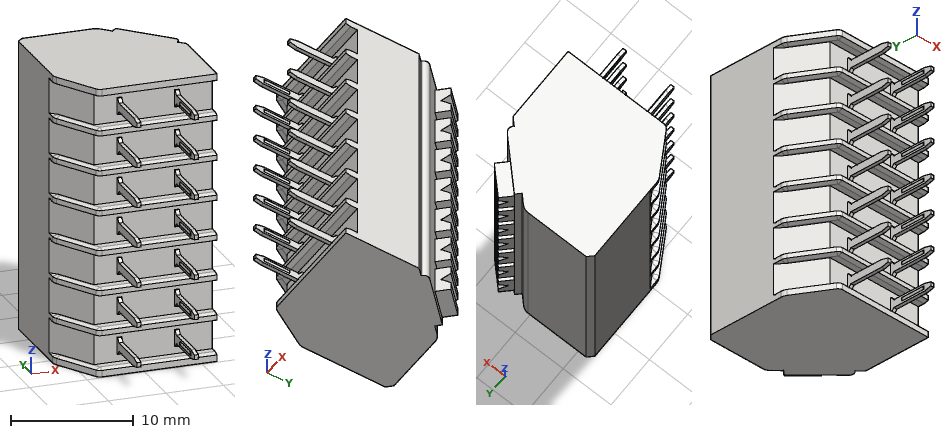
import cadquery as cq
import math

POLES = 7
HEIGHT = 25.2
RIB_THICKNESS = 0.7
PITCH = (HEIGHT - RIB_THICKNESS) / POLES

WIDTH = 12.7
DEPTH = 12.9
BACK_CHAMFER = 0.5
BEVEL_RIGHT_Y = 7.18
BEVEL_SUM = WIDTH + BEVEL_RIGHT_Y
BEVEL_BACK_X = BEVEL_SUM - DEPTH
BEVEL_FILLET = 1.0
SLOPE_LEFT_Y = 4.05
SLOPE_FRONT_X = 2.42
SLOPE_LEFT_FILLET = 1.0
SLOPE_FRONT_FILLET = 0.5

PAD_START_X = 8.0
PAD_LENGTH = 5.82
PAD_HEIGHT = 0.63
PAD_FILLET = 0.53
BUTTON_OFFSET = 0.1
BUTTON_LENGTH = 3.0
BUTTON_HEIGHT = 1.3
BUTTON_WIDTH = 2.65
GROOVE_WIDTH = 1.08
GROOVE_DEPTH = 0.8
EMBED = 0.25

RECESS_DEPTH = 1.13
RIB_EDGE_RUN = 0.48
RIB_EDGE_DROP = 0.13

PIN_X = (4.44, 9.42)
PIN_THICKNESS = 0.35
PIN_WIDTH = 0.75
PIN_TIP_Y = -3.5
PIN_TIP_WIDTH = 0.4
PIN_TAPER_LENGTH = 0.73
PIN_FOOT_WIDTH = 1.45
PIN_FOOT_STRAIGHT = 0.13
PIN_FOOT_TAPER = 0.28
BEAD_WIDTH = 0.33
BEAD_HEIGHT = 0.088
BEAD_START_Y = -0.23
BEAD_END_Y = -2.7

POLE_CENTERS = [RIB_THICKNESS / 2 + PITCH * (i + 0.5) for i in range(POLES)]


def round_vertical_edge(solid, x, y, radius):
    """Fillet the edge parallel to Z that passes through (x, y)."""
    tolerance = 0.003
    low_corner = (x - tolerance, y - tolerance, -HEIGHT)
    high_corner = (x + tolerance, y + tolerance, HEIGHT)
    edge = cq.selectors.BoxSelector(low_corner, high_corner)
    return solid.edges("|Z").edges(edge).fillet(radius)


def make_core():
    """Housing without ribs: its front and slope lie at the bottom of the recesses."""
    outline = [
        (SLOPE_FRONT_X, RECESS_DEPTH),
        (WIDTH, RECESS_DEPTH),
        (WIDTH, BEVEL_RIGHT_Y),
        (BEVEL_BACK_X, DEPTH),
        (BACK_CHAMFER, DEPTH),
        (0, DEPTH - BACK_CHAMFER),
        (0, SLOPE_LEFT_Y + RECESS_DEPTH),
    ]
    core = cq.Workplane("XY").polyline(outline).close().extrude(HEIGHT)
    return round_vertical_edge(core, BEVEL_BACK_X, DEPTH, BEVEL_FILLET)


def make_half_rib(straight):
    """Rib standing on Z = 0 with a straight rim and a chamfered upper edge.

    It reaches back into the core, and past the right wall before being trimmed there,
    so that only the front and the slope keep the chamfer.
    """
    far_x = WIDTH + RIB_EDGE_RUN
    outline = [
        (SLOPE_FRONT_X, 0),
        (far_x, 0),
        (far_x, BEVEL_RIGHT_Y),
        (0, BEVEL_RIGHT_Y),
        (0, SLOPE_LEFT_Y),
    ]
    rib = cq.Workplane("XY").polyline(outline).close().extrude(straight)
    rib = round_vertical_edge(rib, SLOPE_FRONT_X, 0, SLOPE_FRONT_FILLET)
    rib = round_vertical_edge(rib, 0, SLOPE_LEFT_Y, SLOPE_LEFT_FILLET)
    taper = math.degrees(math.atan2(RIB_EDGE_RUN, RIB_EDGE_DROP))
    rib = rib.faces(">Z").wires().toPending().workplane().extrude(RIB_EDGE_DROP, taper=taper)
    trim = cq.Workplane("XY").box(WIDTH, BEVEL_RIGHT_Y, RIB_THICKNESS, centered=False)
    return rib.intersect(trim)


def make_ribs():
    """Two end ribs chamfered on their inner side and the ribs between the poles."""
    end_rib = make_half_rib(RIB_THICKNESS - RIB_EDGE_DROP)
    ribs = [end_rib, end_rib.mirror("XY").translate((0, 0, HEIGHT))]
    half_rib = make_half_rib(RIB_THICKNESS / 2 - RIB_EDGE_DROP)
    middle_rib = half_rib.union(half_rib.mirror("XY"))
    for z in POLE_CENTERS[:-1]:
        ribs.append(middle_rib.translate((0, 0, z + PITCH / 2)))
    return ribs


def bevel_plane(z):
    """Plane at the upper end of the pad: x runs down the bevel, y points out of it."""
    origin = (PAD_START_X, BEVEL_SUM - PAD_START_X, z)
    return cq.Plane(origin=origin, xDir=(1, -1, 0), normal=(0, 0, 1))


def make_pad():
    return (
        cq.Workplane(bevel_plane(0))
        .moveTo(0, -EMBED)
        .lineTo(0, PAD_HEIGHT)
        .lineTo(PAD_LENGTH - PAD_FILLET, PAD_HEIGHT)
        .tangentArcPoint((PAD_LENGTH, PAD_HEIGHT - PAD_FILLET), relative=False)
        .lineTo(PAD_LENGTH, -EMBED)
        .close()
        .extrude(HEIGHT)
    )


def make_button(z):
    """Button with a V groove, drawn as a cross-section and run down the bevel."""
    origin = bevel_plane(z).toWorldCoords((BUTTON_OFFSET, PAD_HEIGHT, 0))
    section_plane = cq.Plane(origin=origin, xDir=(0, 0, -1), normal=(1, -1, 0))
    half = BUTTON_WIDTH / 2
    half_groove = GROOVE_WIDTH / 2
    section = [
        (-half, -EMBED),
        (half, -EMBED),
        (half, BUTTON_HEIGHT),
        (half_groove, BUTTON_HEIGHT),
        (0, BUTTON_HEIGHT - GROOVE_DEPTH),
        (-half_groove, BUTTON_HEIGHT),
        (-half, BUTTON_HEIGHT),
    ]
    return cq.Workplane(section_plane).polyline(section).close().extrude(BUTTON_LENGTH)


def make_pin(x, z, bead_side):
    """Flat pin with a flared foot; bead_side is +1 or -1 along X."""
    foot_y = RECESS_DEPTH - PIN_FOOT_STRAIGHT
    upper_half = [
        (RECESS_DEPTH + EMBED, PIN_FOOT_WIDTH / 2),
        (foot_y, PIN_FOOT_WIDTH / 2),
        (foot_y - PIN_FOOT_TAPER, PIN_WIDTH / 2),
        (PIN_TIP_Y + PIN_TAPER_LENGTH, PIN_WIDTH / 2),
        (PIN_TIP_Y, PIN_TIP_WIDTH / 2),
    ]
    lower_half = [(y, -half_width) for y, half_width in reversed(upper_half)]
    blade = cq.Workplane("YZ").polyline(upper_half + lower_half).close().extrude(PIN_THICKNESS)

    face_x = PIN_THICKNESS if bead_side > 0 else 0
    bead = (
        cq.Workplane("XZ", origin=(face_x, BEAD_START_Y, 0))
        .moveTo(0, -BEAD_WIDTH / 2)
        .threePointArc((bead_side * BEAD_HEIGHT, 0), (0, BEAD_WIDTH / 2))
        .close()
        .extrude(BEAD_START_Y - BEAD_END_Y)
    )
    return blade.union(bead).translate((x, 0, z))


result = make_core().union(make_pad())
for rib in make_ribs():
    result = result.union(rib)
for center in POLE_CENTERS:
    result = result.union(make_button(center))
    result = result.union(make_pin(PIN_X[0], center, bead_side=1))
    result = result.union(make_pin(PIN_X[1], center, bead_side=-1))